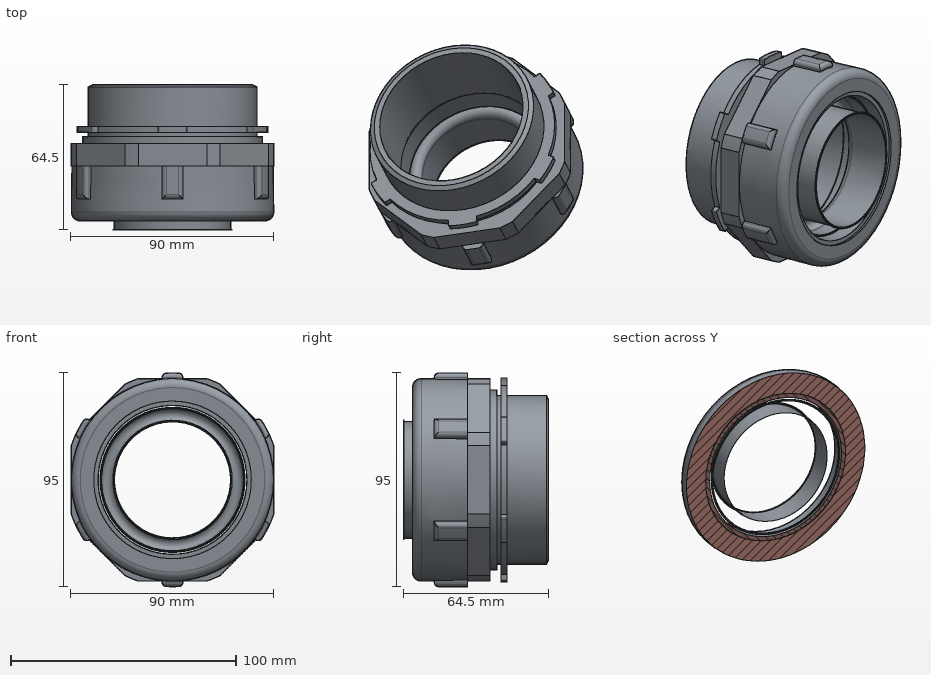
import cadquery as cq
import math


nut_front = 4.0
ring_front = 5.0
sleeve_front = 15.0
octagon_front = 28.5
octagon_length = 10.0
octagon_back = octagon_front + octagon_length
gasket_thickness = 3.0
gasket_back = octagon_back + gasket_thickness
locknut_front = 43.3
locknut_thickness = 2.75
thread_end = 64.5

nut_diameter = 90.0
nut_back_diameter = 89.5
nut_front_round = 4.0
nut_opening_diameter = 70.0
rib_count = 6
rib_crest_diameter = 95.0
rib_width = 9.3
rib_round = 2.0
rib_front = 13.7
rib_root_radius = 42.0

ring_bore = 66.0

octagon_sides = 8
across_flats = 90.0
corner_diameter = 95.0
sleeve_diameter = 76.0
chamber_bore = 67.0
chamber_end = 29.0
throat_bore = 66.0
thread_diameter = 75.18
thread_end_diameter = 71.0
thread_chamfer_length = 1.0

gasket_diameter = 80.0

locknut_diameter = 85.0
tab_count = 6
tab_crest_diameter = 90.6
tab_width = 12.8
tab_corner_round = 0.5

tube_bore = 51.5
tube_diameter = 52.0
tube_lip_diameter = 53.0
wall_bore = 63.0
wall_diameter = 63.5
wall_lip_diameter = 64.5
lip_thickness = 0.25
wall_front = 11.0
curl_start = 19.0


def revolve_about_y(outline):
    """Turn a closed (radius, y) outline into a solid of revolution about Y."""
    return outline.close().revolve(360, (0, 0, 0), (0, 1, 0))


def disc(diameter, start, end):
    """Round disc on the Y axis between two axial positions."""
    section = cq.Workplane("XZ", origin=(0, start, 0)).circle(diameter / 2)
    return section.extrude(start - end)


def make_rib():
    """Rib at the top of the nut, with rounded sides and a rounded front end."""
    length = octagon_front - rib_front
    crest = rib_crest_diameter / 2
    block = cq.Workplane("XY").box(rib_width, length, crest, centered=(True, False, False))
    block = block.translate((0, rib_front, rib_root_radius))
    rib = block.intersect(disc(rib_crest_diameter, rib_front, octagon_front))
    crest_edges = rib.faces("%CYLINDER").edges("|Y or <Y")
    return crest_edges.fillet(rib_round)


def make_nut():
    front_radius = nut_diameter / 2
    opening = nut_opening_diameter / 2
    inner = sleeve_diameter / 2
    round_middle = nut_front_round * (1 - math.sqrt(0.5))
    nut = revolve_about_y(
        cq.Workplane("XY")
        .moveTo(opening, nut_front)
        .lineTo(front_radius - nut_front_round, nut_front)
        .threePointArc(
            (front_radius - round_middle, nut_front + round_middle),
            (front_radius, nut_front + nut_front_round),
        )
        .lineTo(nut_back_diameter / 2, octagon_front)
        .lineTo(inner, octagon_front)
        .lineTo(inner, sleeve_front)
        .lineTo(opening, sleeve_front)
    )
    rib = make_rib()
    for index in range(rib_count):
        nut = nut.union(rib.rotate((0, 0, 0), (0, 1, 0), index * 360 / rib_count))
    return nut


def make_gland_ring():
    ring = disc(nut_opening_diameter, ring_front, sleeve_front)
    return ring.cut(disc(ring_bore, ring_front, sleeve_front))


def make_body():
    corner_to_corner = across_flats / math.cos(math.pi / octagon_sides)
    octagon = (
        cq.Workplane("XZ", origin=(0, octagon_front, 0))
        .polygon(octagon_sides, corner_to_corner)
        .extrude(-octagon_length)
        .rotate((0, 0, 0), (0, 1, 0), 180 / octagon_sides)
        .intersect(disc(corner_diameter, octagon_front, octagon_back))
    )
    thread = revolve_about_y(
        cq.Workplane("XY")
        .moveTo(0, octagon_back)
        .lineTo(thread_diameter / 2, octagon_back)
        .lineTo(thread_diameter / 2, thread_end - thread_chamfer_length)
        .lineTo(thread_end_diameter / 2, thread_end)
        .lineTo(0, thread_end)
    )
    body = octagon.union(thread).union(disc(sleeve_diameter, sleeve_front, octagon_front))
    body = body.cut(disc(chamber_bore, sleeve_front, chamber_end))
    return body.cut(disc(throat_bore, chamber_end, thread_end))


def make_gasket():
    gasket = disc(gasket_diameter, octagon_back, gasket_back)
    return gasket.cut(disc(thread_diameter, octagon_back, gasket_back))


def make_locknut():
    back = locknut_front + locknut_thickness
    crest = tab_crest_diameter / 2
    locknut = disc(locknut_diameter, locknut_front, back)
    crest_disc = disc(tab_crest_diameter, locknut_front, back)
    block = cq.Workplane("XY").box(
        tab_width, locknut_thickness, crest, centered=(True, False, False)
    )
    tab = block.translate((0, locknut_front, 0)).intersect(crest_disc)
    tab = tab.faces("%CYLINDER").edges("|Y").fillet(tab_corner_round)
    for index in range(tab_count):
        locknut = locknut.union(tab.rotate((0, 0, 0), (0, 1, 0), index * 360 / tab_count))
    return locknut.cut(disc(thread_diameter, locknut_front, back))


def make_ferrule():
    curl_center = (tube_diameter + wall_bore) / 4
    curl_inner = (wall_bore - tube_diameter) / 4
    curl_outer = (wall_diameter - tube_bore) / 4
    return revolve_about_y(
        cq.Workplane("XY")
        .moveTo(tube_bore / 2, 0)
        .lineTo(tube_lip_diameter / 2, 0)
        .lineTo(tube_lip_diameter / 2, lip_thickness)
        .lineTo(tube_diameter / 2, lip_thickness)
        .lineTo(tube_diameter / 2, curl_start)
        .threePointArc((curl_center, curl_start + curl_inner), (wall_bore / 2, curl_start))
        .lineTo(wall_bore / 2, wall_front)
        .lineTo(wall_lip_diameter / 2, wall_front)
        .lineTo(wall_lip_diameter / 2, wall_front + lip_thickness)
        .lineTo(wall_diameter / 2, wall_front + lip_thickness)
        .lineTo(wall_diameter / 2, curl_start)
        .threePointArc((curl_center, curl_start + curl_outer), (tube_bore / 2, curl_start))
    )


nut = make_nut()
gland_ring = make_gland_ring()
body = make_body()
gasket = make_gasket()
locknut = make_locknut()
ferrule = make_ferrule()

result = cq.Compound.makeCompound(
    [nut.val(), gland_ring.val(), body.val(), gasket.val(), locknut.val(), ferrule.val()]
)